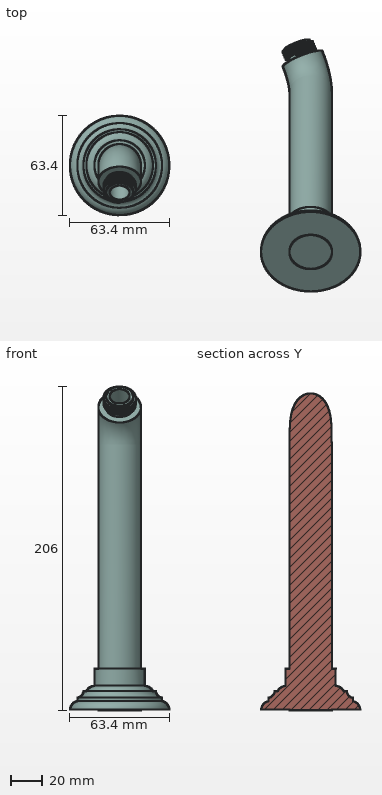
import cadquery as cq
import math

TUBE_RADIUS = 13.5
ELBOW_START = 168.9
BEND_RADIUS = 33.4
BEND_ANGLE = 46.0

SPOUT_LENGTH = 9.9
THREAD_ROOT_RADIUS = 8.6
THREAD_CREST_RADIUS = 10.3
THREAD_START = 2.5
THREAD_PITCH = 1.6
THREAD_TURNS = 4
THREAD_HALF_WIDTH = 0.58
THREAD_OVERLAP = 0.2
BORE_RADIUS = 6.4
BORE_DEPTH = 12.8

BASE_RADIUS = 31.7
FLANGE_UNDERSIDE = 0.5
LOWER_STEP_RADIUS = 27.0
LOWER_STEP_BOTTOM = 6.0
LOWER_STEP_TOP = 8.0
MIDDLE_TOP_RADIUS = 23.0
MIDDLE_TOP = 12.2
UPPER_RADIUS = 21.2
CUFF_RADIUS = 16.0
CUFF_BOTTOM = 15.7
CUFF_TOP = 26.5


def make_base():
    """Turned flange: a rounded rim, a hollow flare, a domed shoulder and a cuff round the tube."""
    rim_mid = (30.3, 4.0)
    flare_mid = (24.5, 9.3)
    upper_mid = (19.4, 14.5)
    return (
        cq.Workplane("XZ")
        .moveTo(0, FLANGE_UNDERSIDE)
        .lineTo(BASE_RADIUS, FLANGE_UNDERSIDE)
        .threePointArc(rim_mid, (LOWER_STEP_RADIUS, LOWER_STEP_BOTTOM))
        .lineTo(LOWER_STEP_RADIUS, LOWER_STEP_TOP)
        .threePointArc(flare_mid, (MIDDLE_TOP_RADIUS, MIDDLE_TOP))
        .lineTo(UPPER_RADIUS, MIDDLE_TOP)
        .threePointArc(upper_mid, (CUFF_RADIUS, CUFF_BOTTOM))
        .lineTo(CUFF_RADIUS, CUFF_TOP)
        .lineTo(0, CUFF_TOP)
        .close()
        .revolve(360, (0, 0, 0), (0, 1, 0))
    )


def make_tube():
    """Straight tube body and the elbow that leans it toward -Y."""
    straight = cq.Workplane("XY").circle(TUBE_RADIUS).extrude(ELBOW_START)
    elbow = (
        cq.Workplane("XY", origin=(0, 0, ELBOW_START))
        .circle(TUBE_RADIUS)
        .revolve(BEND_ANGLE, (0, -BEND_RADIUS, 0), (1, -BEND_RADIUS, 0))
    )
    return straight.union(elbow)


def make_spout_plane():
    """Plane on the end face of the elbow, its normal along the spout."""
    angle = math.radians(BEND_ANGLE)
    center_y = -BEND_RADIUS * (1 - math.cos(angle))
    center_z = ELBOW_START + BEND_RADIUS * math.sin(angle)
    normal = (0, -math.sin(angle), math.cos(angle))
    return cq.Plane(origin=(0, center_y, center_z), xDir=(1, 0, 0), normal=normal)


def make_spout(plane):
    """Plain core carrying a helical V thread that starts on the low side of the spout."""
    core = cq.Workplane("XY").circle(THREAD_ROOT_RADIUS).extrude(SPOUT_LENGTH)
    buried_radius = THREAD_ROOT_RADIUS - THREAD_OVERLAP
    path = cq.Wire.makeHelix(THREAD_PITCH, THREAD_PITCH * THREAD_TURNS, THREAD_ROOT_RADIUS)
    ridge = (
        cq.Workplane("XZ")
        .moveTo(buried_radius, -THREAD_HALF_WIDTH)
        .lineTo(THREAD_CREST_RADIUS, 0)
        .lineTo(buried_radius, THREAD_HALF_WIDTH)
        .close()
        .sweep(cq.Workplane(path), isFrenet=True)
        .rotate((0, 0, 0), (0, 0, 1), -90)
        .translate((0, 0, THREAD_START))
    )
    return cq.Workplane(core.union(ridge).val().moved(cq.Location(plane)))


def make_bore(plane):
    """Blind round hole running in from the tip of the spout."""
    tip = cq.Workplane(plane).workplane(offset=SPOUT_LENGTH)
    return tip.circle(BORE_RADIUS).extrude(-BORE_DEPTH)


spout_plane = make_spout_plane()
result = make_base().union(make_tube()).union(make_spout(spout_plane)).cut(make_bore(spout_plane))